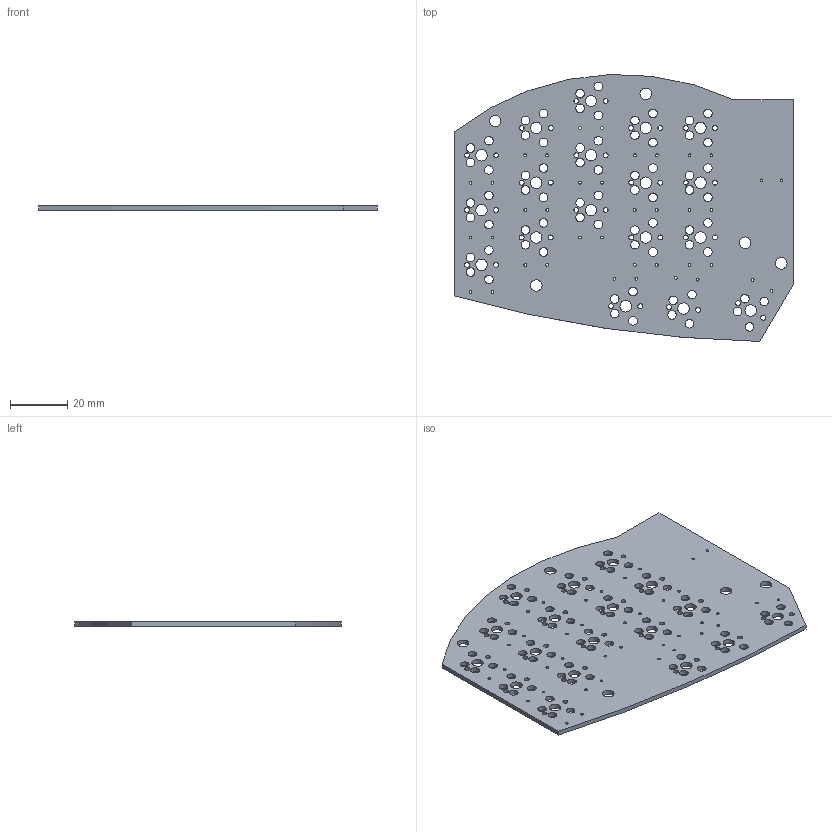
import cadquery as cq

width = 117.95
height = 92.96
thickness = 1.6

left_edge_bottom = 15.85
left_edge_top = 72.95
crown_x = 57.6
arch_end_x = 97.12
shoulder_y = 84.1
right_edge_bottom = 19.85
foot_x = 106.2
bottom_sag = 3.4

pitch = 19.05
grid = 1.27
stem_diameter = 3.99
peg_diameter = 1.7
peg_offset = 4 * grid
pin_diameter = 3.0
pin_positions = [
    (-3 * grid, 2 * grid),
    (-3 * grid, -2 * grid),
    (2 * grid, 4 * grid),
    (2 * grid, -4 * grid),
]

lead_diameter = 0.99
lead_spacing = 6 * grid
lead_drop = pitch / 2

first_column_x = 9.39
low_row_y = 26.68
high_row_y = low_row_y + pitch / 2
columns = [
    (low_row_y, 3),
    (high_row_y, 3),
    (low_row_y + pitch, 2),
    (high_row_y, 3),
    (high_row_y, 3),
]

top_switch_shift = 0.14
top_switch = (
    (first_column_x + 2 * pitch, low_row_y + 3 * pitch - top_switch_shift),
    0,
    (0, top_switch_shift - lead_drop),
)

thumb_switches = [
    ((59.56, 12.25), 0, (-0.1, 9.6)),
    ((79.69, 11.46), -5, (0.2, 10.45)),
    ((103.05, 10.77), -30, (-0.95, 9.6)),
]

mount_diameter = 4.0
mount_positions = [
    (14.15, 76.72),
    (first_column_x + 3 * pitch, 86.2),
    (101.17, 34.37),
    (113.72, 27.18),
    (first_column_x + pitch, 19.5),
]

edge_pair_diameter = 0.8
edge_pair_spacing = 7.0
edge_pair_centre = (110.3, 56.15)


def make_plate():
    """Plain plate with the arched top and the bowed bottom edge."""
    chord_mid_x = foot_x / 2
    chord_mid_y = left_edge_bottom / 2
    chord_length = (foot_x**2 + left_edge_bottom**2) ** 0.5
    bottom_mid = (
        chord_mid_x - bottom_sag * left_edge_bottom / chord_length,
        chord_mid_y - bottom_sag * foot_x / chord_length,
    )
    return (
        cq.Workplane("XY")
        .moveTo(0, left_edge_bottom)
        .lineTo(0, left_edge_top)
        .threePointArc((crown_x, height), (arch_end_x, shoulder_y))
        .lineTo(width, shoulder_y)
        .lineTo(width, right_edge_bottom)
        .lineTo(foot_x, 0)
        .threePointArc(bottom_mid, (0, left_edge_bottom))
        .close()
        .extrude(thickness)
    )


def pair(spacing, centre=(0, 0)):
    """Two points side by side in X about a centre."""
    x, y = centre
    return [(x - spacing / 2, y), (x + spacing / 2, y)]


def hole_cutters(diameter, points):
    """List of cylinders through the plate thickness, used as hole cutters."""
    cylinders = cq.Workplane("XY").pushPoints(points).circle(diameter / 2).extrude(thickness)
    return cylinders.solids().vals()


def switch_cutters(centre, angle, lead_centre):
    """Hole cutters of one switch and its lead pair, turned and moved into place."""
    local_cutters = (
        hole_cutters(stem_diameter, [(0, 0)])
        + hole_cutters(peg_diameter, pair(2 * peg_offset))
        + hole_cutters(pin_diameter, pin_positions)
        + hole_cutters(lead_diameter, pair(lead_spacing, lead_centre))
    )
    location = cq.Location(cq.Vector(*centre, 0), cq.Vector(0, 0, 1), angle)
    return [cutter.moved(location) for cutter in local_cutters]


def all_switches():
    """Centre, rotation and lead-pair centre of every switch."""
    switches = [top_switch] + thumb_switches
    for column, (lowest_y, count) in enumerate(columns):
        for row in range(count):
            centre = (first_column_x + column * pitch, lowest_y + row * pitch)
            switches.append((centre, 0, (0, -lead_drop)))
    return switches


cutters = []
for centre, angle, lead_centre in all_switches():
    cutters += switch_cutters(centre, angle, lead_centre)
cutters += hole_cutters(mount_diameter, mount_positions)
cutters += hole_cutters(edge_pair_diameter, pair(edge_pair_spacing, edge_pair_centre))

result = cq.Workplane(make_plate().val().cut(*cutters))